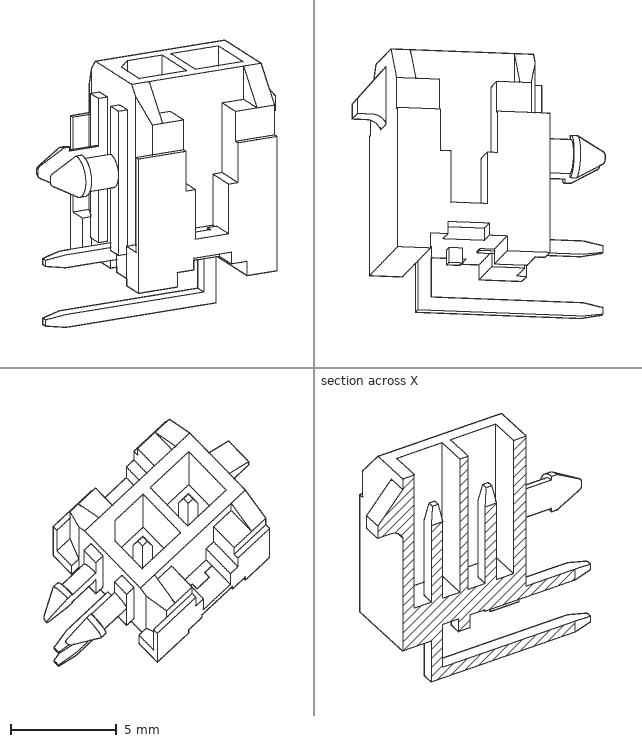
import cadquery as cq
import math


overall_length = 11.95
overall_height = 12.24

height = 9.89
core_half_width = 1.91
shoulder_half_width = 3.32
outer_half_width = 3.57
core_front = -6.88
wall_front = -7.36
shoulder_height = 8.23
wall_height = 6.73

relief_half_width = 2.31
relief_front = -6.5
relief_floor = 1.98

bevel_length = 0.93

slot_middle = -3.45
wide_slot_width = 2.75
wide_slot_floor = 4.74
narrow_slot_width = 1.76
narrow_slot_floor = 2.25
sink_depth = 0.07
sink_half_width = 2.31
sink_key_half_width = 2.63
sink_key_length = 0.81

notch_back = -1.59
notch_front = -5.29
notch_height = 0.72
recess_middle = -3.43
recess_length = 2.0
recess_height = 1.31
foot_size = 0.65

pin_size = 0.65
pin_tip_size = 0.32
pin_taper = 0.99
back_pin_y = -1.92
pin_pitch = 2.99
front_pin_y = back_pin_y - pin_pitch
cavity_width = 2.57
cavity_length = 2.52
cavity_floor = narrow_slot_floor
key_chamfer_x = 0.71
key_chamfer_y = 0.67
pin_top = 7.59
tail_end = -10.56
front_tail_bottom = 0.64
back_tail_bottom = height - overall_height

rib_inner = 0.65
rib_width = 0.82
rib_bottom = 1.26
rib_top = 8.48
peg_height = 5.26
peg_radius = rib_width
peg_head_radius = 1.02
peg_collar_back = -8.89
peg_collar_front = -9.19
peg_tip_radius = 0.32
peg_cone_front = -10.44
peg_flat_radius = 0.11

latch_width = 1.4
latch_reach = overall_length + tail_end
latch_top = 9.28
latch_nose_top = 7.67
latch_nose_bottom = 6.95
latch_arc_radius = 0.72
latch_arc_start = 0.67


def box(x0, x1, y0, y1, z0, z1):
    """Box between two opposite corners."""
    return cq.Workplane("XY").box(x1 - x0, y1 - y0, z1 - z0, centered=False).translate((x0, y0, z0))


def both_sides(shape):
    """The shape together with its mirror image in X = 0."""
    return shape.union(shape.mirror("YZ"))


def make_shoulder():
    """Block on the +X side of the core, with bevelled ends and a slanted front."""
    plan = [
        (0, 0),
        (shoulder_half_width, 0),
        (shoulder_half_width, relief_front),
        (relief_half_width, core_front),
        (0, core_front),
    ]
    shoulder = cq.Workplane("XY").polyline(plan).close().extrude(height)
    profile = [
        (0, 0),
        (shoulder_half_width, 0),
        (shoulder_half_width, shoulder_height),
        (core_half_width, height),
        (0, height),
    ]
    bevelled = cq.Workplane("XZ").polyline(profile).close().extrude(-core_front)
    ledge = box(
        core_half_width, outer_half_width,
        core_front + bevel_length, -bevel_length,
        shoulder_height, height,
    )
    return shoulder.intersect(bevelled).cut(ledge)


def make_housing():
    """Core, shoulders, outer walls and the solid blocks below the front reliefs."""
    core = box(-core_half_width, core_half_width, core_front, 0, 0, height)
    wall = box(shoulder_half_width, outer_half_width, wall_front, 0, 0, wall_height)
    base = box(relief_half_width, outer_half_width, wall_front, 0, 0, relief_floor)
    return core.union(both_sides(make_shoulder().union(wall).union(base)))


def centred_box(inner, outer, middle, length, bottom, top):
    """Box between X and Z limits, centred on a Y position."""
    return box(inner, outer, middle - length / 2, middle + length / 2, bottom, top)


def side_slots():
    """Stepped slots, each with a shallow keyed sink in its floor."""
    sink_floor = narrow_slot_floor - sink_depth
    cuts = centred_box(
        core_half_width, outer_half_width, slot_middle, wide_slot_width, wide_slot_floor, height
    )
    cuts = cuts.union(centred_box(
        core_half_width, outer_half_width, slot_middle, narrow_slot_width, narrow_slot_floor, height
    ))
    cuts = cuts.union(centred_box(
        core_half_width, sink_half_width, slot_middle, narrow_slot_width, sink_floor, height
    ))
    cuts = cuts.union(centred_box(
        core_half_width, sink_key_half_width, slot_middle, sink_key_length, sink_floor, height
    ))
    return both_sides(cuts)


def underside_cuts():
    """Notch across the whole width, a recess above it in each side and the front tail's slot."""
    notch = box(-outer_half_width, outer_half_width, notch_front, notch_back, 0, notch_height)
    recess = centred_box(relief_half_width, outer_half_width, recess_middle, recess_length, 0, recess_height)
    tail_slot = box(
        -pin_size / 2, pin_size / 2, core_front, notch_front, 0, front_tail_bottom + pin_size / 2
    )
    return notch.union(both_sides(recess)).union(tail_slot)


def foot():
    """Square foot under the middle of the notch."""
    return centred_box(-foot_size / 2, foot_size / 2, recess_middle, foot_size, 0, notch_height)


def cavity(y):
    """Rectangular contact cavity, open at the top."""
    return (
        cq.Workplane("XY", origin=(0, y, cavity_floor))
        .rect(cavity_width, cavity_length)
        .extrude(height - cavity_floor)
    )


def key_wedge(y):
    """Wedge that fills the -X, -Y corner of a cavity."""
    x0 = -cavity_width / 2
    y0 = y - cavity_length / 2
    return (
        cq.Workplane("XY", origin=(0, 0, cavity_floor))
        .polyline([(x0, y0), (x0 + key_chamfer_x, y0), (x0, y0 + key_chamfer_y)])
        .close()
        .extrude(height - cavity_floor)
    )


def tapered_bar(plane, length):
    """Square bar along the plane normal, tapered at its far end."""
    straight = length - pin_taper
    bar = cq.Workplane(plane).rect(pin_size, pin_size).extrude(straight)
    taper = (
        cq.Workplane(plane)
        .workplane(offset=straight)
        .rect(pin_size, pin_size)
        .workplane(offset=pin_taper)
        .rect(pin_tip_size, pin_tip_size)
        .loft(ruled=True)
    )
    return bar.union(taper)


def pin(y, tail_bottom):
    """L-shaped contact: upright leg at y and a tail running toward -Y."""
    tail_start = y + pin_size / 2
    leg = tapered_bar(cq.Plane((0, y, tail_bottom), (1, 0, 0), (0, 0, 1)), pin_top - tail_bottom)
    tail = tapered_bar(
        cq.Plane((0, tail_start, tail_bottom + pin_size / 2), (1, 0, 0), (0, -1, 0)),
        tail_start - tail_end,
    )
    return leg.union(tail)


def rib_and_peg():
    """Upright rib on the +X side with a half-round snap peg growing from it."""
    rib = box(rib_inner, rib_inner + rib_width, wall_front, core_front, rib_bottom, rib_top)
    outline = (
        cq.Workplane("XY")
        .moveTo(0, core_front)
        .lineTo(peg_radius, core_front)
        .lineTo(peg_radius, peg_collar_back)
        .lineTo(peg_head_radius, peg_collar_back)
        .lineTo(peg_head_radius, peg_collar_front)
        .lineTo(peg_tip_radius, peg_cone_front)
        .tangentArcPoint((peg_flat_radius, tail_end), relative=False)
        .lineTo(0, tail_end)
        .close()
    )
    peg = outline.revolve(360, (0, 0), (0, 1)).translate((rib_inner, 0, peg_height))
    inner_half = box(-outer_half_width, rib_inner, 2 * tail_end, 0, 0, height)
    peg = peg.cut(inner_half)
    return rib.union(peg)


def latch():
    """Ramped latch with a concave underside, centred on X = 0."""
    arc_drop = latch_arc_radius - math.sqrt(latch_arc_radius**2 - latch_arc_start**2)
    half_angle = math.asin(latch_arc_start / latch_arc_radius) / 2
    arc_middle = (
        latch_arc_start - latch_arc_radius * math.sin(half_angle),
        latch_nose_bottom - latch_arc_radius * (1 - math.cos(half_angle)),
    )
    return (
        cq.Workplane("YZ")
        .moveTo(0, latch_top)
        .lineTo(latch_reach, latch_nose_top)
        .lineTo(latch_reach, latch_nose_bottom)
        .lineTo(latch_arc_start, latch_nose_bottom)
        .threePointArc(arc_middle, (0, latch_nose_bottom - arc_drop))
        .close()
        .extrude(latch_width / 2, both=True)
    )


result = make_housing().cut(side_slots()).cut(underside_cuts())
result = result.cut(cavity(back_pin_y)).cut(cavity(front_pin_y)).union(key_wedge(front_pin_y))
result = result.union(foot())
result = result.union(pin(back_pin_y, back_tail_bottom))
result = result.union(pin(front_pin_y, front_tail_bottom))
result = result.union(both_sides(rib_and_peg()))
result = result.union(latch())